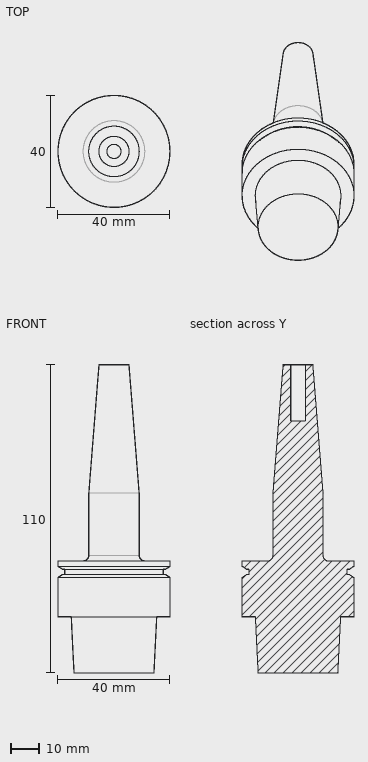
import cadquery as cq

total_length = 110.0
flange_radius = 20.0

shank_length = 20.0
shank_bottom_radius = 14.3
shank_top_radius = 15.3

flange_top = 40.0
groove_radius = 17.6
groove_shoulder_radius = 18.4
groove_bevel_height = 1.1
groove_lower_edge = 34.1
groove_upper_edge = 38.1

neck_radius = 9.0
neck_fillet = 2.0
neck_top = 64.2
nose_radius = 5.4
bore_diameter = 5.1
bore_depth = 20.0


def revolved_body():
    """Solid of revolution about Z, bottom of the shank at Z = 0."""
    profile = (
        cq.Workplane("XZ")
        .lineTo(shank_bottom_radius, 0)
        .lineTo(shank_top_radius, shank_length)
        .lineTo(flange_radius, shank_length)
        .lineTo(flange_radius, groove_lower_edge)
        .lineTo(groove_shoulder_radius, groove_lower_edge + groove_bevel_height)
        .lineTo(groove_radius, groove_lower_edge + groove_bevel_height)
        .lineTo(groove_radius, groove_upper_edge - groove_bevel_height)
        .lineTo(groove_shoulder_radius, groove_upper_edge - groove_bevel_height)
        .lineTo(flange_radius, groove_upper_edge)
        .lineTo(flange_radius, flange_top)
        .lineTo(neck_radius + neck_fillet, flange_top)
        .radiusArc((neck_radius, flange_top + neck_fillet), neck_fillet)
        .lineTo(neck_radius, neck_top)
        .lineTo(nose_radius, total_length)
        .lineTo(0, total_length)
        .close()
    )
    return profile.revolve(360, (0, 0, 0), (0, 1, 0))


def nose_bore():
    """Flat-bottomed hole in the end of the nose."""
    return (
        cq.Workplane("XY", origin=(0, 0, total_length - bore_depth))
        .circle(bore_diameter / 2)
        .extrude(bore_depth)
    )


result = revolved_body().cut(nose_bore())